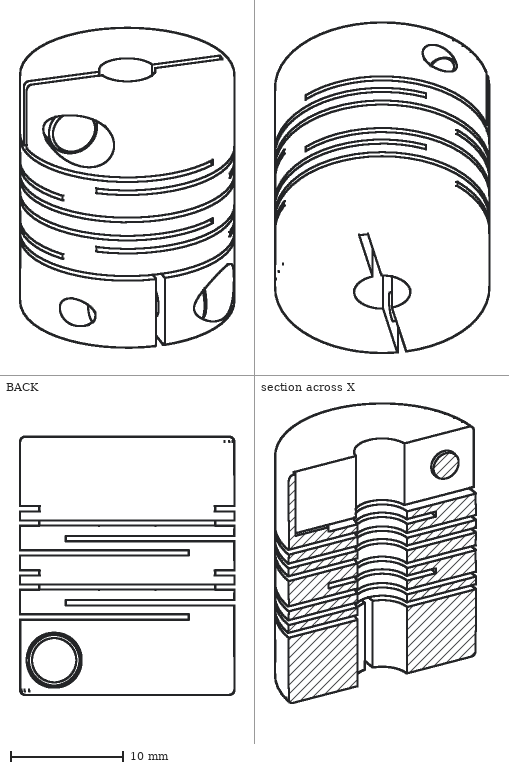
import cadquery as cq

BODY_DIAMETER = 19.1
BODY_LENGTH = 23.0
BORE_DIAMETER = 5.0
RIM_FILLET = 0.5

HUB_LENGTH = 6.2
SLOT_WIDTH = 0.45
SLOT_REACH = 5.45
PAIR_PITCH = 1.27
CROSS_PITCH = 2.66
BLOCK_PITCH = 5.7
BLOCK_COUNT = 2
WEB_ANGLES = (90, 270, 0, 180)

SLIT_WIDTH = 0.8
SLIT_BLIND_REACH = 8.8

SCREW_OFFSET = 6.5
SCREW_DEPTH = 3.1
SCREW_DIAMETER = 2.6
SCREW_TIP = -5.45
TIP_CHAMFER = 0.25
HEAD_DIAMETER = 4.5
HEAD_SEAT = 2.15
HEAD_LENGTH = 2.5
HEAD_CHAMFER = 0.28
COUNTERBORE_DIAMETER = 4.9

BODY_RADIUS = BODY_DIAMETER / 2
CUT_REACH = BODY_DIAMETER
BLOCK_SLOT_OFFSETS = (0, PAIR_PITCH, CROSS_PITCH, CROSS_PITCH + PAIR_PITCH)
LAST_SLOT_BOTTOM = (
    HUB_LENGTH + (BLOCK_COUNT - 1) * BLOCK_PITCH + BLOCK_SLOT_OFFSETS[-1] + SLOT_WIDTH
)
LOWER_HUB_LENGTH = BODY_LENGTH - LAST_SLOT_BOTTOM


def make_body():
    """Round bar with rounded rims and a through bore."""
    bar = cq.Workplane("XY").circle(BODY_RADIUS).extrude(BODY_LENGTH)
    bar = bar.faces("<Z or >Z").edges().fillet(RIM_FILLET)
    bore = cq.Workplane("XY").circle(BORE_DIAMETER / 2).extrude(BODY_LENGTH)
    return bar.cut(bore)


def half_slot(top_z, web_angle):
    """Flat cutter that leaves a web on the side pointed to by web_angle."""
    cutter = cq.Workplane("XY").box(
        CUT_REACH + SLOT_REACH, 2 * CUT_REACH, SLOT_WIDTH, centered=(False, True, False)
    )
    cutter = cutter.translate((-CUT_REACH, 0, top_z - SLOT_WIDTH))
    return cutter.rotate((0, 0, 0), (0, 0, 1), web_angle)


def cut_flexure_slots(part):
    for block in range(BLOCK_COUNT):
        block_top = BODY_LENGTH - HUB_LENGTH - block * BLOCK_PITCH
        for offset, web_angle in zip(BLOCK_SLOT_OFFSETS, WEB_ANGLES):
            part = part.cut(half_slot(block_top - offset, web_angle))
    return part


def rod_along_x(diameter, start, length):
    """Cylinder on the screw axis, with the hub end face at Z = 0."""
    plane = cq.Plane(
        origin=(start, -SCREW_OFFSET, -SCREW_DEPTH), xDir=(0, 1, 0), normal=(1, 0, 0)
    )
    return cq.Workplane(plane).circle(diameter / 2).extrude(length)


def clamp_cutter(hub_length):
    """Slit, screw hole and head counterbore of a hub hanging below Z = 0."""
    slit = cq.Workplane("XY").box(
        SLIT_WIDTH, CUT_REACH + SLIT_BLIND_REACH, hub_length, centered=(True, False, False)
    )
    slit = slit.translate((0, -CUT_REACH, -hub_length))
    hole = rod_along_x(SCREW_DIAMETER, -BODY_RADIUS, BODY_RADIUS + HEAD_SEAT)
    counterbore = rod_along_x(COUNTERBORE_DIAMETER, HEAD_SEAT, BODY_RADIUS)
    return slit.union(hole).union(counterbore)


def clamp_screw():
    """Cap screw that bridges the slit and fills the hole up to its tip."""
    shank = rod_along_x(SCREW_DIAMETER, SCREW_TIP, HEAD_SEAT - SCREW_TIP)
    shank = shank.faces("<X").edges().chamfer(TIP_CHAMFER)
    head = rod_along_x(HEAD_DIAMETER, HEAD_SEAT, HEAD_LENGTH)
    head = head.faces(">X").edges().chamfer(HEAD_CHAMFER)
    return shank.union(head)


def on_upper_hub(shape):
    return shape.translate((0, 0, BODY_LENGTH))


def on_lower_hub(shape):
    """Upside down on the bottom face and a quarter turn round from the upper hub."""
    return shape.mirror("XY").rotate((0, 0, 0), (0, 0, 1), 90)


def add_clamps(part):
    part = part.cut(on_upper_hub(clamp_cutter(HUB_LENGTH)))
    part = part.cut(on_lower_hub(clamp_cutter(LOWER_HUB_LENGTH)))
    part = part.union(on_upper_hub(clamp_screw()))
    return part.union(on_lower_hub(clamp_screw()))


result = add_clamps(cut_flexure_slots(make_body()))